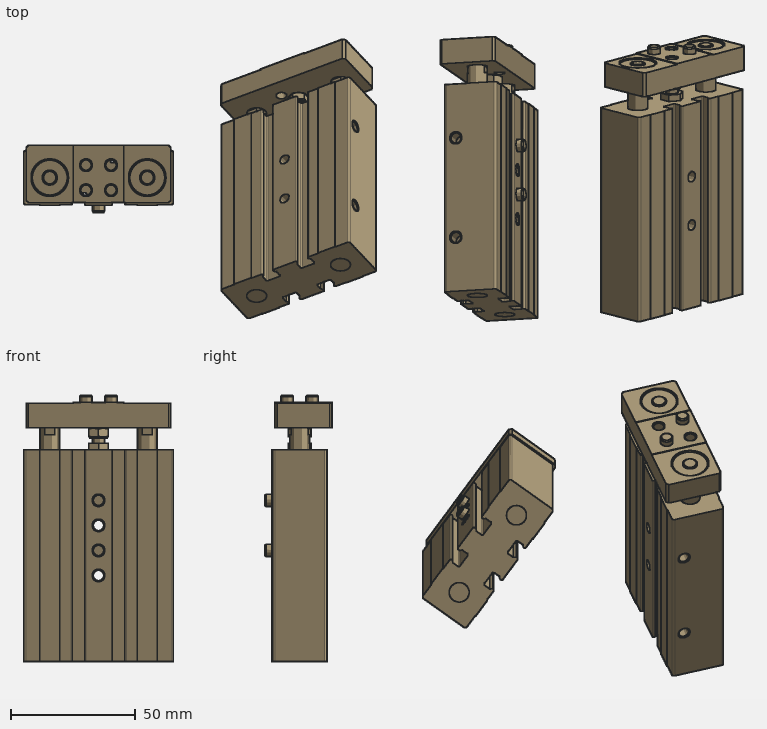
import cadquery as cq
import math


total_height = 106.6
grid = 10.0
rod_offset = 19.5

housing_width = 60.0
housing_depth = 22.2
housing_height = 84.7
housing_fillet = 1.0
land_height = 0.2
land_width = 8.0
rib_fillet = 0.4

slot_offset = 8.0
slot_neck_width = 4.9
slot_head_width = 6.4
slot_depth = 5.0
slot_head_depth = 3.1
slot_mouth_fillet = 0.6
slot_floor_fillet = 0.5

pin_diameter = 5.0
pin_tip_diameter = 4.2
pin_tip_height = 0.6
pin_exposed = 2.9
pin_seat_depth = 5.0
hole_diameter = 4.2
hole_mouth_diameter = 5.0
top_pin_height = 64.5

port_y = 6.0
port_heights = (22.1, 62.7)
port_depth = 8.0

plate_width = 58.0
plate_front = -10.0
plate_back = 13.0
plate_thickness = 9.9
plate_chamfer = 1.0
pad_width = 20.1
pad_height = 0.3

rod_diameter = 8.0
rod_flat_width = 4.2
rod_flat_height = 2.8
head_diameter = 14.0
head_bore_diameter = 15.0
head_bore_depth = 5.0
head_recess = 0.4
stud_diameter = 6.0
stud_tip_diameter = 5.0

hex_across_flats = 8.0
hex_chamfer_diameter = 7.5
upper_hex_height = 3.5
collar_diameter = 6.9
collar_height = 0.5
neck_diameter = 5.0
lower_hex_height = 2.7

rib_width = 2 * slot_offset - slot_neck_width
pad_top = total_height - pin_exposed
plate_top = pad_top - pad_height
plate_bottom = plate_top - plate_thickness
face_y = housing_depth / 2
body_y = face_y - land_height
rod_places = [(-rod_offset, 0), (rod_offset, 0)]
front_pin_heights = [top_pin_height, top_pin_height - 2 * grid]
front_hole_heights = [top_pin_height - grid, top_pin_height - 3 * grid]
plate_pin_places = [(-grid / 2, grid / 2), (grid / 2, -grid / 2)]
plate_hole_places = [(-grid / 2, -grid / 2), (grid / 2, grid / 2)]


def cylinder(diameter, height, base=0.0):
    """Upright cylinder on the Z axis."""
    return cq.Workplane("XY").workplane(offset=base).circle(diameter / 2).extrude(height)


def cone(bottom_diameter, top_diameter, height, base=0.0):
    """Upright truncated cone on the Z axis."""
    solid = cq.Solid.makeCone(bottom_diameter / 2, top_diameter / 2, height, cq.Vector(0, 0, base))
    return cq.Workplane(solid)


def centred_box(width, depth, height):
    """Box standing on the XY plane, centred in X and Y."""
    return cq.Workplane("XY").box(width, depth, height, centered=(True, True, False))


def face_forward(shape, height):
    """Turn a shape made along +Z to point along -Y on the housing front face."""
    return shape.rotate((0, 0, 0), (1, 0, 0), 90).translate((0, -face_y, height))


def make_pin():
    """Pin standing on Z = 0 with its seated end below."""
    shank = cylinder(pin_diameter, pin_seat_depth + pin_exposed - pin_tip_height, -pin_seat_depth)
    tip = cone(pin_diameter, pin_tip_diameter, pin_tip_height, pin_exposed - pin_tip_height)
    return shank.union(tip)


def pin_seat():
    """Blind hole below Z = 0 that holds a pin."""
    return cylinder(pin_diameter, pin_seat_depth, -pin_seat_depth)


def countersunk_hole(depth):
    """Hole below Z = 0 with a chamfered mouth."""
    mouth_depth = (hole_mouth_diameter - hole_diameter) / 2
    bore = cylinder(hole_diameter, depth, -depth)
    return bore.union(cone(hole_diameter, hole_mouth_diameter, mouth_depth, -mouth_depth))


def slot_cutter():
    """T-slot open toward -Y, with slanted lips; its +X side borders the central rib."""
    neck = slot_neck_width / 2
    head = slot_head_width / 2
    floor_y = slot_depth - face_y
    lip_y = floor_y - slot_head_depth
    neck_y = lip_y - (head - neck)
    arc_inset = 1 - math.sqrt(0.5)
    mouth_inset = slot_mouth_fillet * arc_inset
    rib_inset = rib_fillet * arc_inset
    slot = (
        cq.Workplane("XY")
        .moveTo(-neck - slot_mouth_fillet, -face_y)
        .lineTo(-neck - slot_mouth_fillet, -body_y)
        .threePointArc((-neck - mouth_inset, mouth_inset - body_y), (-neck, slot_mouth_fillet - body_y))
        .lineTo(-neck, neck_y)
        .lineTo(-head, lip_y)
        .lineTo(-head, floor_y)
        .lineTo(head, floor_y)
        .lineTo(head, lip_y)
        .lineTo(neck, neck_y)
        .lineTo(neck, rib_fillet - face_y)
        .threePointArc((neck + rib_inset, rib_inset - face_y), (neck + rib_fillet, -face_y))
        .close()
        .extrude(housing_height)
    )
    return slot.edges("|Z").edges(">Y").fillet(slot_floor_fillet)


def port_cutter():
    """Blind port with a drill-point end, drilled along +X from the -X side."""
    drill = countersunk_hole(port_depth)
    point_height = hole_diameter / 2 * math.tan(math.radians(30))
    point = cq.Workplane(
        cq.Solid.makeCone(0, hole_diameter / 2, point_height, cq.Vector(0, 0, -port_depth - point_height))
    )
    return drill.union(point).rotate((0, 0, 0), (0, 1, 0), -90)


def make_housing():
    body = centred_box(housing_width, 2 * body_y, housing_height)
    body = body.edges("|Z").fillet(housing_fillet)
    rib = centred_box(rib_width, housing_depth, housing_height)
    body = body.union(rib)
    for x, y in rod_places:
        land = centred_box(land_width, housing_depth, housing_height)
        body = body.union(land.translate((x, y, 0)))

    right_slot = slot_cutter().mirror("YZ").translate((slot_offset, 0, 0))
    left_slot = slot_cutter().translate((-slot_offset, 0, 0))
    for slot in (left_slot, right_slot):
        body = body.cut(slot).cut(slot.mirror("XZ"))

    for height in front_pin_heights:
        body = body.cut(face_forward(pin_seat(), height))
    for height in front_hole_heights:
        body = body.cut(face_forward(countersunk_hole(housing_depth), height))
    for height in port_heights:
        body = body.cut(port_cutter().translate((-housing_width / 2, port_y, height)))
    for x, y in rod_places:
        body = body.cut(cylinder(rod_diameter, housing_height).translate((x, y, 0)))
    return body


def hexagon(height, base):
    """Hexagonal prism with flats facing +X and -X."""
    corner_diameter = hex_across_flats / math.cos(math.radians(30))
    prism = cq.Workplane("XY").polygon(6, corner_diameter).extrude(height)
    return prism.rotate((0, 0, 0), (0, 0, 1), 90).translate((0, 0, base))


def piston_rod_end():
    """Neck with two hexagons, from the housing top to the plate underside."""
    upper_base = plate_bottom - upper_hex_height
    corner_diameter = hex_across_flats / math.cos(math.radians(30))
    chamfer_height = (corner_diameter - hex_chamfer_diameter) / 2 * math.tan(math.radians(30))
    envelope = cylinder(corner_diameter, upper_hex_height - chamfer_height, upper_base)
    envelope = envelope.union(
        cone(corner_diameter, hex_chamfer_diameter, chamfer_height, plate_bottom - chamfer_height)
    )
    upper_hex = hexagon(upper_hex_height, upper_base).intersect(envelope)
    collar = cylinder(collar_diameter, collar_height, upper_base - collar_height)
    neck = cylinder(neck_diameter, upper_base - housing_height, housing_height)
    lower_hex = hexagon(lower_hex_height, housing_height)
    return neck.union(lower_hex).union(collar).union(upper_hex)


def make_plate():
    depth = plate_back - plate_front
    middle_y = (plate_back + plate_front) / 2
    plate = centred_box(plate_width, depth, plate_thickness).edges("|Z").chamfer(plate_chamfer)
    pad = centred_box(pad_width, depth, plate_thickness + pad_height)
    plate = plate.union(pad).translate((0, middle_y, plate_bottom))

    for x, y in plate_pin_places:
        plate = plate.cut(pin_seat().translate((x, y, pad_top)))
    for x, y in plate_hole_places:
        hole = countersunk_hole(plate_thickness + pad_height)
        plate = plate.cut(hole.translate((x, y, pad_top)))
    for x, y in rod_places:
        bore = cylinder(rod_diameter, plate_thickness, plate_bottom)
        head_bore = cylinder(head_bore_diameter, head_bore_depth, plate_top - head_bore_depth)
        plate = plate.cut(bore.union(head_bore).translate((x, y, 0)))
    return plate.union(piston_rod_end())


def make_guide_rod():
    """Guide rod on the Z axis with two wrench flats, a round head and a chamfered stud end."""
    head_base = plate_top - head_bore_depth
    shank = cylinder(rod_diameter, head_base)
    flat_y = math.sqrt(rod_diameter ** 2 - rod_flat_width ** 2) / 2
    flat = centred_box(rod_diameter, rod_diameter, rod_flat_height)
    flat = flat.translate((0, -flat_y - rod_diameter / 2, plate_bottom - rod_flat_height))
    flats = flat.union(flat.mirror("XZ"))
    head = cylinder(head_diameter, head_bore_depth - head_recess, head_base)
    stud_end = cone(stud_diameter, stud_tip_diameter, head_recess, plate_top - head_recess)
    return shank.cut(flats).union(head).union(stud_end)


housing = make_housing()
plate = make_plate()
guide_rods = [make_guide_rod().translate((x, y, 0)) for x, y in rod_places]
plate_pins = [make_pin().translate((x, y, pad_top)) for x, y in plate_pin_places]
front_pins = [face_forward(make_pin(), height) for height in front_pin_heights]

result = cq.Compound.makeCompound(
    [body.val() for body in [housing, plate, *guide_rods, *plate_pins, *front_pins]]
)